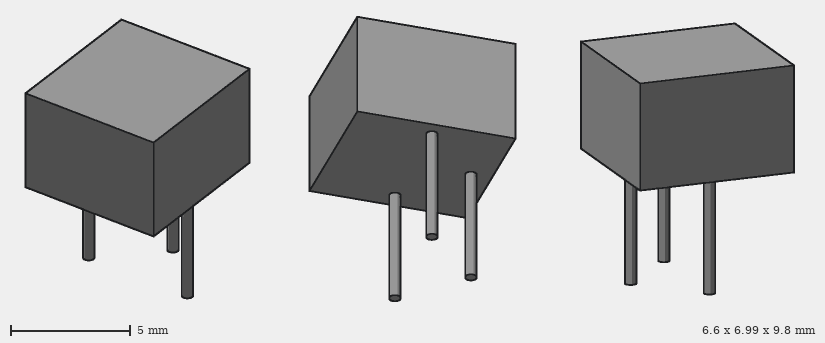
import cadquery as cq

total_height = 9.8
housing_width = 6.6
housing_depth = 6.99
housing_height = 4.7

pin_diameter = 0.49
pin_pitch = 2.54
pin_row_y = 0.04
pin_length = total_height - housing_height

pin_places = [
    (-pin_pitch, pin_row_y),
    (pin_pitch, pin_row_y),
    (0, pin_row_y + pin_pitch),
]


def make_housing():
    """Plain block with its underside on the plane Z = 0."""
    return cq.Workplane("XY").box(
        housing_width, housing_depth, housing_height, centered=(True, True, False)
    )


def make_pin(x, y):
    """Straight round pin hanging from the underside of the housing."""
    return cq.Workplane("XY").center(x, y).circle(pin_diameter / 2).extrude(-pin_length)


housing = make_housing()
pins = [make_pin(x, y) for x, y in pin_places]

result = cq.Compound.makeCompound([housing.val(), *[pin.val() for pin in pins]])